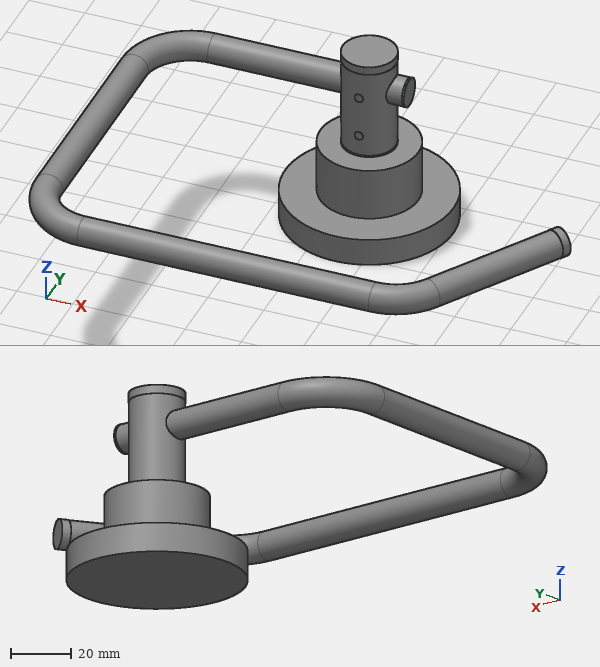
import cadquery as cq
import math

base_diameter = 60.0
base_height = 10.0
boss_diameter = 35.0
boss_top = 29.1
post_diameter = 18.8
total_height = 65.1
post_cap_diameter = 19.0
post_cap_thickness = 3.0
post_foot_thickness = 0.5

screw_diameter = 3.0
screw_length = 3.5
lower_screw_height = 37.2

rod_diameter = 10.0
rod_height = 52.2
bend_radius = 20.0
rod_start_x = 14.3
side_x = -75.8
front_y = -115.9
front_leg_end_x = 48.1
tip_angle = 57.0
tip_leg_length = 53.0

rod_cap_diameter = 10.2
start_cap_thickness = 0.7
tip_cap_thickness = 3.0


def disc(diameter, bottom, top):
    return cq.Workplane("XY").workplane(offset=bottom).circle(diameter / 2).extrude(top - bottom)


def pin(diameter, length, start, direction):
    return cq.Workplane(cq.Solid.makeCylinder(diameter / 2, length, start, direction))


def mount():
    base = disc(base_diameter, 0, base_height)
    boss = disc(boss_diameter, base_height, boss_top)
    post = disc(post_diameter, boss_top, total_height)
    cap = disc(post_cap_diameter, total_height - post_cap_thickness, total_height)
    foot = disc(post_cap_diameter, boss_top, boss_top + post_foot_thickness)
    return base.union(boss).union(post).union(cap).union(foot)


def set_screw(height):
    outer_face = cq.Vector(0, -post_diameter / 2, height)
    return pin(screw_diameter, screw_length, outer_face, cq.Vector(0, 1, 0))


def rod():
    angle = math.radians(tip_angle)
    tip_direction = cq.Vector(math.cos(angle), math.sin(angle), 0)
    bend_end_x = front_leg_end_x + bend_radius * math.sin(angle)
    bend_end_y = front_y + bend_radius * (1 - math.cos(angle))
    tip_x = bend_end_x + tip_leg_length * tip_direction.x
    tip_y = bend_end_y + tip_leg_length * tip_direction.y

    path = (
        cq.Workplane("XY", origin=(0, 0, rod_height))
        .moveTo(rod_start_x, 0)
        .lineTo(side_x + bend_radius, 0)
        .tangentArcPoint((side_x, -bend_radius), relative=False)
        .lineTo(side_x, front_y + bend_radius)
        .tangentArcPoint((side_x + bend_radius, front_y), relative=False)
        .lineTo(front_leg_end_x, front_y)
        .tangentArcPoint((bend_end_x, bend_end_y), relative=False)
        .lineTo(tip_x, tip_y)
    )
    bar = (
        cq.Workplane("YZ", origin=(rod_start_x, 0, rod_height))
        .circle(rod_diameter / 2)
        .sweep(path)
    )
    start_end = cq.Vector(rod_start_x, 0, rod_height)
    tip_end = cq.Vector(tip_x, tip_y, rod_height)
    start_cap = pin(rod_cap_diameter, start_cap_thickness, start_end, cq.Vector(-1, 0, 0))
    tip_cap = pin(rod_cap_diameter, tip_cap_thickness, tip_end, tip_direction * -1)
    return bar.union(start_cap).union(tip_cap)


result = mount().union(rod())
for screw_height in (lower_screw_height, rod_height):
    result = result.union(set_screw(screw_height))